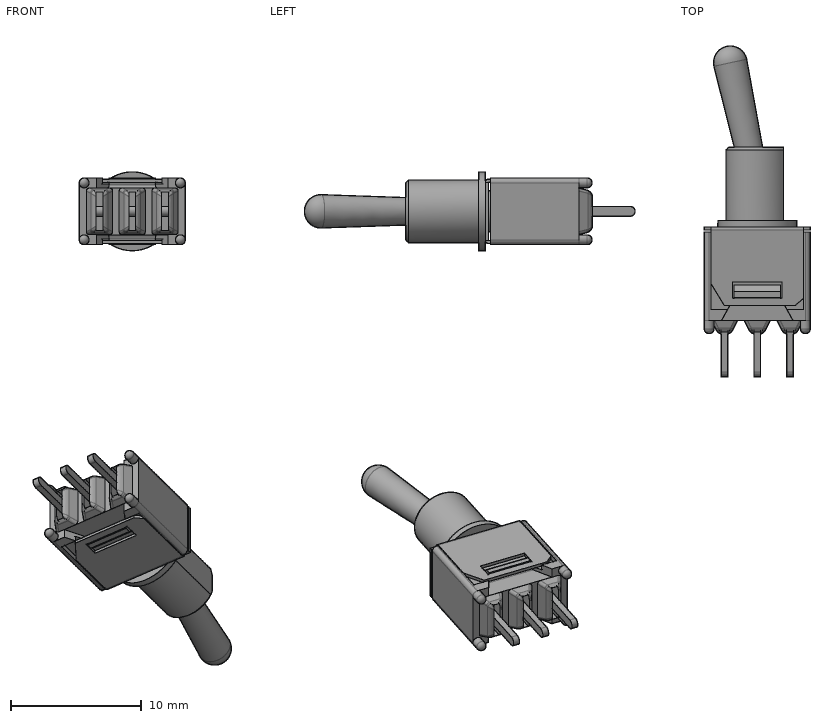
import cadquery as cq
import math


body_width = 8.12
body_height = 5.1
corner_radius = 0.38
body_top = -0.38
body_end = -7.16
post_shoulder = -7.8

sheet = 0.25
bend_radius = 0.23
bracket_height = 4.94
leg_width = 7.09
leg_end = -6.02
leg_left_taper = (1.05, 1.7)
leg_right_taper = (0.65, 0.55)
window_width = 3.77
window_top = -4.2
window_end = -5.45

recess_floor = 2.1
recess_end = -6.33
catch_half_width = 1.77
catch_height = body_height / 2
catch_ramp_start = -4.43
catch_ramp_end = -4.95
catch_end = -5.42
notch_half_width = 2.73
notch_floor = 1.8
notch_fillet = 0.23

neck_diameter = 3.16
flange_diameter = 6.05
flange_thickness = 0.5
bushing_radius = 2.4
bushing_end = 6.1
bushing_chamfer = 0.23
bushing_flat = 2.02
lever_tilt = 12.2
lever_pivot = 3.0
lever_tip_radius = 1.3
lever_root_radius = 0.95
lever_tip_y = 13.85

terminal_pitch = 2.5
terminal_count = 3
terminal_thickness = 0.5
terminal_width = 0.75
overall_length = 25.3
terminal_end = lever_tip_y - overall_length
boss_base = (2.0, 3.57)
boss_tip = (0.94, 3.04)
boss_end = -8.23
boss_corner_radius = 0.25
boss_tip_diameter = 1.3
boss_slot_height = 2.94


def block(x_range, y_range, z_range):
    """Axis-aligned box between the given limits."""
    (x0, x1), (y0, y1), (z0, z1) = x_range, y_range, z_range
    return cq.Workplane("XY").box(x1 - x0, y1 - y0, z1 - z0, centered=False).translate((x0, y0, z0))


def disc(radius, start, end):
    """Cylinder about the Y axis."""
    return cq.Workplane("XZ", origin=(0, end, 0)).circle(radius).extrude(end - start)


def on_both_faces(solid):
    """The solid together with its mirror image on the -Z face."""
    return solid.union(solid.mirror("XY"))


def symmetric_range(size):
    return (-size / 2, size / 2)


def housing():
    shell = block(symmetric_range(body_width), (body_end, body_top), symmetric_range(body_height))
    shell = shell.edges("|Y").fillet(corner_radius)
    post_x = body_width / 2 - corner_radius
    post_z = body_height / 2 - corner_radius
    for x in (-post_x, post_x):
        for z in (-post_z, post_z):
            post = disc(corner_radius, post_shoulder, body_top)
            tip = cq.Workplane("XY").sphere(corner_radius).translate((0, post_shoulder, 0))
            shell = shell.union(post.union(tip).translate((x, 0, z)))
    recess = block(symmetric_range(leg_width), (recess_end, body_top), (recess_floor, body_height))
    shell = shell.cut(on_both_faces(recess))
    shell = shell.cut(on_both_faces(notch()))
    return shell.union(on_both_faces(catch()))


def notch():
    """Dovetail opening behind the catch, rounded where the floor meets the closed end."""
    outline = [
        (-catch_half_width, catch_end),
        (catch_half_width, catch_end),
        (notch_half_width, body_end),
        (-notch_half_width, body_end),
    ]
    dovetail = cq.Workplane("XY", origin=(0, 0, notch_floor)).polyline(outline).close().extrude(body_height)
    return dovetail.edges("<Z and >Y").fillet(notch_fillet)


def catch():
    """Ramped catch that locks into the window of the bracket leg."""
    side = [
        (catch_ramp_start, recess_floor),
        (catch_ramp_end, catch_height),
        (catch_end, catch_height),
        (catch_end, recess_floor),
    ]
    return cq.Workplane("YZ").polyline(side).close().extrude(catch_half_width, both=True)


def bracket():
    outer = bracket_height / 2
    inner = outer - sheet
    leg_half = leg_width / 2
    plate = block(symmetric_range(body_width), (-sheet, 0), (-inner, inner))
    bend = block((-leg_half, leg_half), (-sheet, 0), (-outer, outer))
    bend = bend.edges(">Y and |X").fillet(bend_radius)
    left_x, left_y = leg_left_taper
    right_x, right_y = leg_right_taper
    outline = [
        (-leg_half, -sheet),
        (leg_half, -sheet),
        (leg_half, leg_end + right_y),
        (leg_half - right_x, leg_end),
        (-leg_half + left_x, leg_end),
        (-leg_half, leg_end + left_y),
    ]
    leg = cq.Workplane("XY", origin=(0, 0, inner)).polyline(outline).close().extrude(sheet)
    leg = leg.cut(block(symmetric_range(window_width), (window_end, window_top), (inner, outer)))
    return plate.union(bend).union(on_both_faces(leg))


def bushing():
    barrel = disc(bushing_radius, 0, bushing_end).faces(">Y").chamfer(bushing_chamfer)
    barrel = barrel.cut(
        block((bushing_flat, flange_diameter), (0, bushing_end), symmetric_range(flange_diameter))
    )
    flange = disc(flange_diameter / 2, 0, flange_thickness)
    neck = disc(neck_diameter / 2, body_top, 0)
    return barrel.union(flange).union(neck)


def lever():
    """Tapered lever with a hemispherical end, tilted about its pivot."""
    tilt = math.radians(lever_tilt)
    length = (lever_tip_y - lever_tip_radius - lever_pivot) / math.cos(tilt)
    diagonal = lever_tip_radius * math.sqrt(0.5)
    profile = (
        cq.Workplane("XY")
        .lineTo(lever_root_radius, 0)
        .lineTo(lever_tip_radius, length)
        .threePointArc((diagonal, length + diagonal), (0, length + lever_tip_radius))
        .close()
    )
    upright = profile.revolve(360, (0, 0, 0), (0, 1, 0))
    return upright.rotate((0, 0, 0), (0, 0, 1), lever_tilt).translate((0, lever_pivot, 0))


def terminal():
    """Slotted boss with a flat round-ended pin standing in the slot."""
    boss = (
        cq.Workplane("XZ", origin=(0, body_end, 0))
        .rect(*boss_base)
        .workplane(offset=body_end - boss_end)
        .rect(*boss_tip)
        .loft(ruled=True)
    )
    boss = boss.faces("<Y").edges().fillet(boss_tip_diameter / 2)
    boss = boss.edges("not (>Y or <Y or |X or |Z)").fillet(boss_corner_radius)
    thickness = symmetric_range(terminal_thickness)
    boss = boss.cut(block(thickness, (boss_end, body_end), symmetric_range(boss_slot_height)))
    round_start = terminal_end + terminal_width / 2
    pin = block(thickness, (round_start, body_end), symmetric_range(terminal_width))
    round_end = (
        cq.Workplane("YZ", origin=(0, round_start, 0))
        .circle(terminal_width / 2)
        .extrude(terminal_thickness / 2, both=True)
    )
    return boss.union(pin).union(round_end)


result = housing().union(bracket()).union(bushing()).union(lever())
for index in range(terminal_count):
    offset = (index - (terminal_count - 1) / 2) * terminal_pitch
    result = result.union(terminal().translate((offset, 0, 0)))